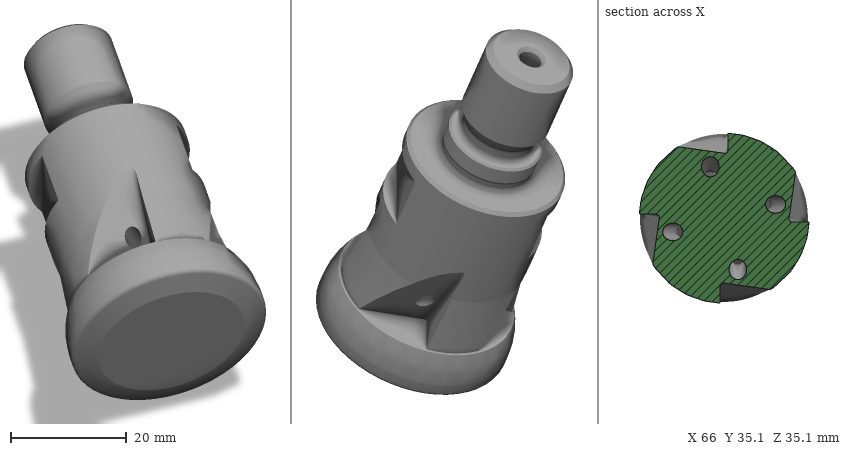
import cadquery as cq
import math

total_length = 66.0

stud_radius = 8.0
stud_chamfer = 1.05
thread_end_x = 14.0
neck_radius = 13.0 / 2
neck_cone_angle = 30.0
neck_cone_fillet = 0.8
neck_fillet = 1.0
collar_radius = 8.5
collar_start_x = 18.95
collar_chamfer = 0.4
collar_end_x = 22.2

relief_radius = 16.55 / 2
relief_start_x = 22.7
relief_fillet = 0.6
relief_depth = 0.1
relief_face_radius = 9.75

shoulder_x = 23.9
body_radius = 14.5
body_chamfer = 0.6
flare_start_x = 45.0
flare_end_radius = 15.65

head_start_x = 56.3
head_start_radius = 16.1
head_radius = 35.05 / 2
head_crown_x = 62.35
head_crown_length = 1.8
head_edge_x = 64.9
head_edge_radius = 16.9
head_face_radius = 13.1

flat_start_x = 26.85
flat_length = 10.15
flat_distance = 12.1

pocket_count = 4
pocket_corner_x = 38.45
pocket_corner_z = 1.25
wall_angle = 4.0
floor_fall_angle = 21.0
floor_roll_angle = 8.0
pocket_fillet = 0.495

pocket_hole_diameter = 3.0
pocket_hole_x = 50.15
pocket_hole_z = -2.4
pocket_hole_lean = 61.0
pocket_hole_depth = 7.9

centre_hole_diameter = 4.0
centre_mouth_diameter = 5.2
centre_mouth_depth = 0.65
centre_hole_depth = 7.9
drill_tip_angle = 118.0


def arc_point(center_x, center_r, radius, angle):
    """Point on an arc in the (x, radius) half plane; angle in degrees from +X."""
    a = math.radians(angle)
    return (center_x + radius * math.cos(a), center_r + radius * math.sin(a))


def turned_blank():
    """Revolve the complete outer profile around the X axis."""
    neck_end_x = collar_start_x - neck_fillet
    cone = math.radians(neck_cone_angle)
    cone_length = (stud_radius - neck_radius) / math.tan(cone)
    neck_corner_x = thread_end_x + cone_length
    tangent_length = neck_cone_fillet * math.tan(cone / 2)
    cone_fillet_start = (
        neck_corner_x - tangent_length * math.cos(cone),
        neck_radius + tangent_length * math.sin(cone),
    )
    neck_arc_r = neck_radius + neck_fillet
    relief_bottom_x = shoulder_x + relief_depth
    relief_arc_x = relief_bottom_x - relief_fillet
    relief_arc_r = relief_radius + relief_fillet
    head_flank = head_crown_x - head_start_x
    head_rise = head_radius - head_start_radius
    crown_arc_radius = (head_flank**2 + head_rise**2) / (2 * head_rise)
    half_turn = math.degrees(math.asin(head_flank / crown_arc_radius)) / 2
    head_mid_point = arc_point(
        head_crown_x, head_radius - crown_arc_radius, crown_arc_radius, 90 + half_turn
    )
    profile = (
        cq.Workplane("XY")
        .moveTo(0, 0)
        .lineTo(0, stud_radius - stud_chamfer)
        .lineTo(stud_chamfer, stud_radius)
        .lineTo(thread_end_x, stud_radius)
        .lineTo(*cone_fillet_start)
        .tangentArcPoint((neck_corner_x + tangent_length, neck_radius), relative=False)
        .lineTo(neck_end_x, neck_radius)
        .threePointArc(
            arc_point(neck_end_x, neck_arc_r, neck_fillet, -45),
            (collar_start_x, neck_arc_r),
        )
        .lineTo(collar_start_x, collar_radius - collar_chamfer)
        .lineTo(collar_start_x + collar_chamfer, collar_radius)
        .lineTo(collar_end_x, collar_radius)
        .lineTo(relief_start_x, relief_radius)
        .lineTo(relief_arc_x, relief_radius)
        .threePointArc(
            arc_point(relief_arc_x, relief_arc_r, relief_fillet, -45),
            (relief_bottom_x, relief_arc_r),
        )
        .lineTo(shoulder_x, relief_face_radius)
        .lineTo(shoulder_x, body_radius - body_chamfer)
        .lineTo(shoulder_x + body_chamfer, body_radius)
        .lineTo(flare_start_x, body_radius)
        .lineTo(head_start_x, flare_end_radius)
        .lineTo(head_start_x, head_start_radius)
        .threePointArc(head_mid_point, (head_crown_x, head_radius))
        .lineTo(head_crown_x + head_crown_length, head_radius)
        .tangentArcPoint((head_edge_x, head_edge_radius), relative=False)
        .lineTo(total_length, head_face_radius)
        .lineTo(total_length, 0)
        .close()
    )
    return profile.revolve(360, (0, 0, 0), (1, 0, 0))


def wrench_flats():
    """Blocks that cut the two parallel flats."""
    flat_depth = body_radius - flat_distance
    block = cq.Workplane("XY").box(
        flat_length, 2 * flat_depth, 2 * body_radius, centered=(False, False, True)
    )
    upper = block.translate((flat_start_x, flat_distance, 0))
    return upper.union(upper.mirror("XZ"))


def pocket_floor_y(x, z):
    """Y of the sloping floor of the pocket on the -Y side."""
    fall = math.tan(math.radians(floor_fall_angle))
    roll = math.tan(math.radians(floor_roll_angle))
    corner_y = -math.sqrt(body_radius**2 - pocket_corner_z**2)
    return corner_y + fall * (x - pocket_corner_x) + roll * (z - pocket_corner_z)


def pocket_cutter():
    """Chip pocket on the -Y side: between a tilted floor, a wall and the head."""
    reach = 3 * body_radius
    fall = math.tan(math.radians(floor_fall_angle))
    roll = math.tan(math.radians(floor_roll_angle))
    corner = cq.Vector(
        pocket_corner_x, pocket_floor_y(pocket_corner_x, pocket_corner_z), pocket_corner_z
    )
    floor = cq.Plane(origin=corner, xDir=(1, fall, 0), normal=(fall, -1, roll))
    above_floor = cq.Workplane(floor).box(reach, reach, reach, centered=(True, True, False))
    wall_drop = (head_start_x - pocket_corner_x) * math.tan(math.radians(wall_angle))
    below_wall = (
        cq.Workplane("XZ", origin=(pocket_corner_x, 0, pocket_corner_z))
        .moveTo(0, 0)
        .lineTo(head_start_x - pocket_corner_x, -wall_drop)
        .lineTo(head_start_x - pocket_corner_x, -body_radius)
        .lineTo(0, -body_radius)
        .close()
        .extrude(reach)
    )
    mid_x = (pocket_corner_x + head_start_x) / 2
    mid_z = pocket_corner_z - wall_drop / 2
    floor_edge = cq.NearestToPointSelector((mid_x, pocket_floor_y(mid_x, mid_z), mid_z))
    return below_wall.intersect(above_floor).edges(floor_edge).fillet(pocket_fillet)


def pocket_hole():
    """Blind round hole leaning toward the head, drilled into the pocket floor."""
    lean = math.radians(pocket_hole_lean)
    outward = cq.Vector(math.sin(lean), -math.cos(lean), 0)
    mouth = cq.Vector(pocket_hole_x, pocket_floor_y(pocket_hole_x, pocket_hole_z), pocket_hole_z)
    overshoot = pocket_hole_diameter
    start = mouth + outward * overshoot
    return cq.Workplane(
        cq.Solid.makeCylinder(
            pocket_hole_diameter / 2, pocket_hole_depth + overshoot, start, outward * -1
        )
    )


def centre_hole():
    """Drilled hole with a flared mouth and a conical bottom."""
    radius = centre_hole_diameter / 2
    tip_length = radius / math.tan(math.radians(drill_tip_angle / 2))
    return (
        cq.Workplane("XY")
        .moveTo(0, 0)
        .lineTo(0, centre_mouth_diameter / 2)
        .lineTo(centre_mouth_depth, radius)
        .lineTo(centre_hole_depth, radius)
        .lineTo(centre_hole_depth + tip_length, 0)
        .close()
        .revolve(360, (0, 0, 0), (1, 0, 0))
    )


result = turned_blank().cut(wrench_flats()).cut(centre_hole())
for i in range(pocket_count):
    turn = i * 360 / pocket_count
    for cutter in (pocket_cutter(), pocket_hole()):
        result = result.cut(cutter.rotate((0, 0, 0), (1, 0, 0), turn))